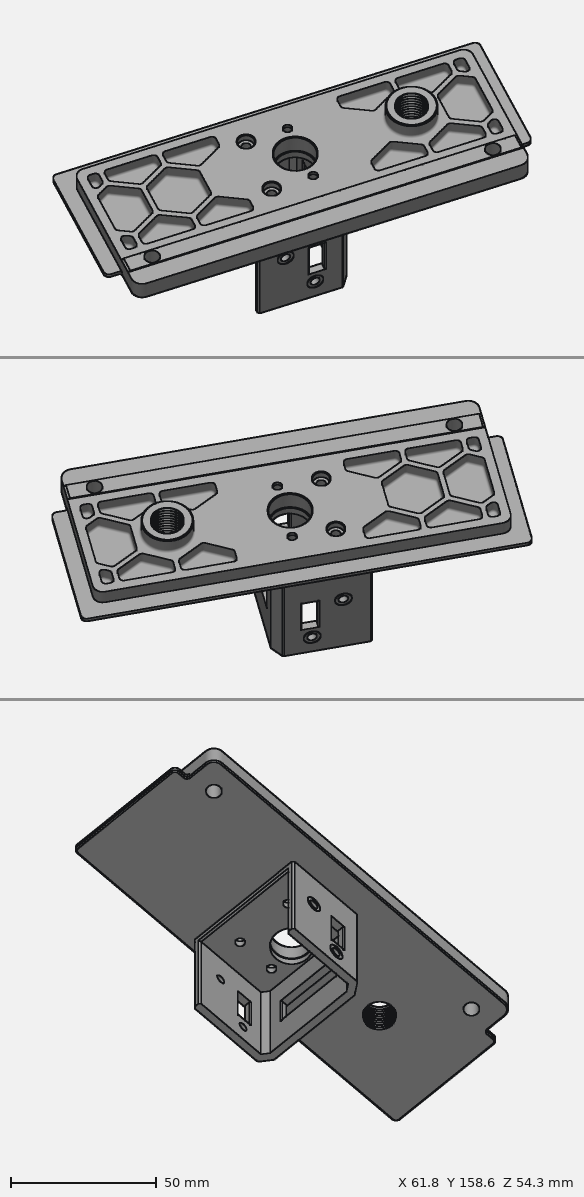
import cadquery as cq
import math

flange_thickness = 2.0
plate_thickness = 5.7
plate_bottom = flange_thickness
plate_top = plate_bottom + plate_thickness
boss_height = 5.97
boss_top = plate_top + boss_height
bottom_chamfer = 0.5

plate_half_width = 21.5
plate_half_length = 73.5
plate_right = 34.5
plate_left_radius = 3.5
plate_right_radius = 4.0

flange_overhang = 5.8
flange_half_length = plate_half_length + flange_overhang
flange_left = plate_right - 61.8
flange_right = plate_half_width
flange_corner_radius = 2.0
flange_inner_radius = 1.0

strip_width = 6.0
strip_height = 0.5
strip_slope_length = 0.85
strip_hole_diameter = 5.5
strip_hole_x = 24.5
strip_hole_y = 63.3

cell_radius = 12.5
cell_pitch = cell_radius * math.sqrt(3)
column_pitch = cell_radius * 1.5
rib_width = 2.0
pocket_diameter = 2 * (cell_radius - rib_width / math.sqrt(3))
pocket_depth = 4.8
pocket_floor = plate_top - pocket_depth
pocket_corner_radius = 1.5
pocket_floor_radius = 0.9
pocket_margin = 3.4
honeycomb_y = 43.2

boss_diameter = 18.0
boss_root_fillet = 1.0
boss_chamfer = 0.4
thread_minor = 11.43
thread_major = 12.65
thread_pitch = 1.337

main_bore_diameter = 14.9
main_bore_chamfer = 0.35
screw_hole_diameter = 3.4
screw_x = 11.5
plain_screw_y = 1.9
recessed_screw_y = -13.5
screw_recess_diameter = 6.0
screw_recess_depth = 2.8
screw_recess_chamfer = 0.3
insert_hole_diameter = 4.7
insert_hole_roof = 1.3

bracket_height = 40.6
bracket_half_width = 23.9
bracket_back = 11.2
bracket_front = -23.7
bracket_wall = 3.0
bracket_bevel_width = 4.6
bracket_bevel_depth = 3.3
bracket_bevel_chamfer = 0.4
bracket_edge_chamfer = 0.7
back_window_width = 26.0
back_window_height = 12.0
back_window_z = -20.1
side_window_width = 5.6
side_window_height = 14.0
side_window_y = -1.7
side_window_z = -21.1
window_flare = 0.5
side_screw_places = [(-13.4, -15.65), (-2.4, -33.05)]
side_recess_depth = 0.2


def box(x_range, y_range, z_range):
    """Box that fills three coordinate ranges."""
    sizes = [high - low for low, high in (x_range, y_range, z_range)]
    corner = (x_range[0], y_range[0], z_range[0])
    return cq.Workplane("XY").box(*sizes, centered=False).translate(corner)


def cylinder(x, y, diameter, z_low, z_high):
    """Upright cylinder."""
    return cq.Workplane("XY", origin=(x, y, z_low)).circle(diameter / 2).extrude(z_high - z_low)


def both(size):
    """Range of the given half size on both sides of zero."""
    return (-size, size)


def cover_base():
    """Lowest layer of the cover: the flange and the part of the plate that reaches past it."""
    layer = (0, flange_thickness)
    flange = box((flange_left, flange_right), both(flange_half_length), layer)
    flange = flange.edges("|Z").fillet(flange_corner_radius)
    tongue = box((0, plate_right), both(plate_half_length), layer)
    tongue = tongue.edges("|Z and >X").fillet(plate_right_radius)
    base = flange.union(tongue)
    for end in (-1, 1):
        corner = cq.selectors.NearestToPointSelector((flange_right, end * plate_half_length, flange_thickness / 2))
        base = base.edges(corner).fillet(flange_inner_radius)
    return base


def plate_body():
    plate = box((-plate_half_width, plate_right), both(plate_half_length), (plate_bottom, plate_top))
    plate = plate.edges("|Z and <X").fillet(plate_left_radius)
    return plate.edges("|Z and >X").fillet(plate_right_radius)


def raised_strip():
    """Low strip along the plate, ramped at both ends."""
    foot = plate_half_length
    crest = foot - strip_slope_length
    strip_top = plate_top + strip_height
    profile = [(-foot, plate_top), (foot, plate_top), (crest, strip_top), (-crest, strip_top)]
    side = cq.Workplane("YZ", origin=(plate_half_width, 0, 0)).polyline(profile).close()
    return side.extrude(strip_width)


def strip_holes():
    places = [(strip_hole_x, strip_hole_y), (strip_hole_x, -strip_hole_y)]
    holes = cq.Workplane("XY").pushPoints(places).circle(strip_hole_diameter / 2)
    return holes.extrude(plate_top + strip_height)


def boss():
    """Round boss with a chamfered rim and a concave fillet at its root."""
    radius = boss_diameter / 2
    root = radius + boss_root_fillet
    arc_drop = boss_root_fillet * (1 - math.sqrt(0.5))
    outline = (
        cq.Workplane("XZ")
        .moveTo(0, plate_top)
        .lineTo(root, plate_top)
        .threePointArc((radius + arc_drop, plate_top + arc_drop), (radius, plate_top + boss_root_fillet))
        .lineTo(radius, boss_top - boss_chamfer)
        .lineTo(radius - boss_chamfer, boss_top)
        .lineTo(0, boss_top)
        .close()
    )
    return outline.revolve(360, (0, 0, 0), (0, 1, 0)).translate((0, honeycomb_y, 0))


def thread_bore():
    """Bore through the boss and the cover, with ring grooves standing in for the thread."""
    crest = thread_minor / 2
    root = thread_major / 2
    turns = int(boss_top / thread_pitch)
    points = [(0, 0), (crest, 0)]
    for turn in range(turns):
        points.append((root, (turn + 0.5) * thread_pitch))
        points.append((crest, (turn + 1) * thread_pitch))
    points += [(crest, boss_top), (0, boss_top)]
    bore = cq.Workplane("XZ").polyline(points).close().revolve(360, (0, 0, 0), (0, 1, 0))
    return bore.translate((0, honeycomb_y, 0))


def honeycomb_pocket(x, y, area):
    """One hexagonal pocket, clipped to the pocketed area, with rounded corners and floor edge."""
    hexagon = cq.Workplane("XY", origin=(x, y, pocket_floor)).polygon(6, pocket_diameter).extrude(pocket_depth)
    pocket = hexagon.intersect(area).edges("|Z").fillet(pocket_corner_radius)
    return pocket.faces("<Z").edges().fillet(pocket_floor_radius)


def honeycomb_pockets():
    """Pockets around the boss and, mirrored, at the other end; a full one lies opposite the boss."""
    half_width = plate_half_width - pocket_margin
    half_length = plate_half_length - pocket_margin
    area = box(both(half_width), both(half_length), (pocket_floor, plate_top))
    cells = [(0, -honeycomb_y)]
    for end in (-1, 1):
        cells.append((0, end * (honeycomb_y + cell_pitch)))
        for row in (-0.5, 0.5, 1.5):
            for side in (-1, 1):
                cells.append((side * column_pitch, end * (honeycomb_y + row * cell_pitch)))
    return [honeycomb_pocket(x, y, area) for x, y in cells]


def chamfered_hole(x, y, diameter, z_low, chamfer):
    """Cutter for a hole down from the top of the plate, widened at its rim."""
    hole = cylinder(x, y, diameter, z_low, plate_top)
    rim = cylinder(x, y, diameter + 2 * chamfer, plate_top - chamfer, plate_top)
    return hole.union(rim.faces("<Z").chamfer(chamfer * 0.999))


def make_cover():
    """Plate with its flange, boss, raised strip, pockets and holes."""
    cover = cover_base()
    cover = cover.cut(cylinder(0, 0, main_bore_diameter, 0, plate_bottom))
    cover = cover.faces("<Z").edges().chamfer(bottom_chamfer)
    cover = cover.union(plate_body()).union(raised_strip()).union(boss())
    for pocket in honeycomb_pockets():
        cover = cover.cut(pocket)
    cover = cover.cut(thread_bore()).cut(strip_holes())
    cover = cover.cut(chamfered_hole(0, 0, main_bore_diameter, plate_bottom, main_bore_chamfer))
    recess_floor = plate_top - screw_recess_depth
    for x in (-screw_x, screw_x):
        cover = cover.cut(cylinder(x, plain_screw_y, screw_hole_diameter, 0, plate_top))
        cover = cover.cut(cylinder(x, plain_screw_y, insert_hole_diameter, 0, plate_top - insert_hole_roof))
        cover = cover.cut(cylinder(x, recessed_screw_y, screw_hole_diameter, 0, plate_top))
        cover = cover.cut(
            chamfered_hole(x, recessed_screw_y, screw_recess_diameter, recess_floor, screw_recess_chamfer))
    return cover


def channel_block(half_width, back, bevel_width, bevel_depth, z_range):
    """Block whose two back corners are bevelled."""
    z_low, z_high = z_range
    outline = [
        (-half_width, bracket_front),
        (half_width, bracket_front),
        (half_width, back - bevel_depth),
        (half_width - bevel_width, back),
        (-half_width + bevel_width, back),
        (-half_width, back - bevel_depth),
    ]
    return cq.Workplane("XY", origin=(0, 0, z_low)).polyline(outline).close().extrude(z_high - z_low)


def bracket_shell():
    """Channel of even wall thickness with a roof, open at its front and underside."""
    shell = channel_block(
        bracket_half_width, bracket_back, bracket_bevel_width, bracket_bevel_depth, (-bracket_height, 0))
    for side in (-1, 1):
        corner = (side * bracket_half_width, bracket_back - bracket_bevel_depth, -bracket_height / 2)
        shell = shell.edges(cq.selectors.NearestToPointSelector(corner)).chamfer(bracket_bevel_chamfer)
    bevel_length = math.hypot(bracket_bevel_width, bracket_bevel_depth)
    wall_share = bracket_wall * (bracket_bevel_width + bracket_bevel_depth - bevel_length)
    inside = channel_block(
        bracket_half_width - bracket_wall,
        bracket_back - bracket_wall,
        bracket_bevel_width - wall_share / bracket_bevel_depth,
        bracket_bevel_depth - wall_share / bracket_bevel_width,
        (-bracket_height, -bracket_wall),
    )
    shell = shell.cut(inside)
    front_roof_edge = cq.selectors.NearestToPointSelector((0, bracket_front, -bracket_wall))
    front_edges = shell.faces("<Y").edges("|Z").add(shell.edges(front_roof_edge))
    return front_edges.chamfer(bracket_edge_chamfer)


def window(width, height):
    """Cutter for a window in a wall that spans y = 0 to the wall thickness, its sides flared at both faces."""
    narrow = width / 2
    wide = narrow + window_flare
    inner = window_flare
    outer = bracket_wall - window_flare
    outline = [
        (-wide, 0), (wide, 0), (narrow, inner), (narrow, outer),
        (wide, bracket_wall), (-wide, bracket_wall), (-narrow, outer), (-narrow, inner),
    ]
    return cq.Workplane("XY").polyline(outline).close().extrude(height / 2, both=True)


def side_screw_holes():
    """Holes across both side walls, recessed in the outer faces."""
    cutters = []
    for y, z in side_screw_places:
        hole = cq.Workplane("YZ", origin=(-bracket_half_width, y, z)).circle(screw_hole_diameter / 2)
        cutters.append(hole.extrude(2 * bracket_half_width))
        for side in (-1, 1):
            recess = cq.Workplane("YZ", origin=(side * bracket_half_width, y, z))
            recess = recess.circle(screw_recess_diameter / 2).extrude(-side * side_recess_depth)
            cutters.append(recess)
    return cutters


def make_bracket():
    """Channel-shaped bracket under the cover."""
    bracket = bracket_shell()
    back_window = window(back_window_width, back_window_height)
    bracket = bracket.cut(back_window.translate((0, bracket_back - bracket_wall, back_window_z)))
    side_window = window(side_window_width, side_window_height).rotate((0, 0, 0), (0, 0, 1), 90)
    for outer_x in (bracket_half_width, bracket_wall - bracket_half_width):
        bracket = bracket.cut(side_window.translate((outer_x, side_window_y, side_window_z)))
    for cutter in side_screw_holes():
        bracket = bracket.cut(cutter)
    bracket = bracket.cut(cylinder(0, 0, main_bore_diameter, -bracket_wall, 0))
    for x in (-screw_x, screw_x):
        for y in (plain_screw_y, recessed_screw_y):
            bracket = bracket.cut(cylinder(x, y, screw_hole_diameter, -bracket_wall, 0))
    return bracket


cover = make_cover()
bracket = make_bracket()
result = cq.Compound.makeCompound([cover.val(), bracket.val()])